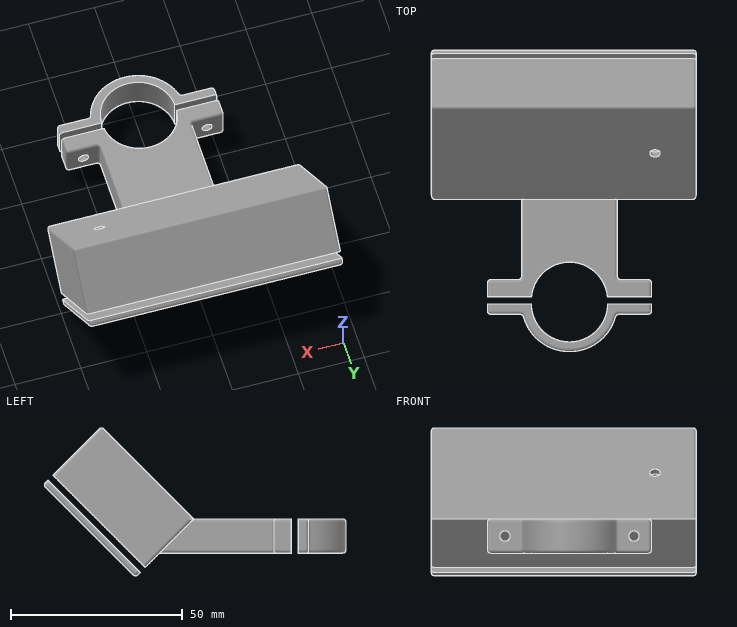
import cadquery as cq
import math


wall = 2.0
edge_radius = 1.0
part_gap = 2.0

tilt = 45
box_length = 77.1
box_height = 38.0
box_depth = 20.0
box_shift = -1.7
lid_thickness = wall
front_hole_diameter = 3.0
front_hole_from_side = 12.0
front_hole_up_slope = box_height / 2

arm_thickness = 10.0
arm_reach = 29.3
bore_radius = 11.05
clamp_wall = 2.9
clamp_radius = bore_radius + clamp_wall
arm_width = 2 * clamp_radius
lug_span = 47.7
arm_joint = 1.0
arm_lug_thickness = 5.1
cap_lug_thickness = 3.1
bolt_hole_diameter = 3.0
bolt_spacing = 37.5
cap_joint = arm_joint - part_gap

box_normal = (0, -math.sin(math.radians(tilt)), math.cos(math.radians(tilt)))
box_plane = cq.Plane(origin=(box_shift, arm_reach, arm_thickness / 2), xDir=(1, 0, 0), normal=box_normal)


def slab(length, height, front, back):
    """Block in the box plane, centred on the box front between two depths behind it."""
    return (
        cq.Workplane("XY")
        .workplane(offset=-back)
        .center(0, box_height / 2)
        .rect(length, height)
        .extrude(back - front)
    )


def place(body):
    """Move a body from the box's own axes to its tilted place."""
    return cq.Workplane(obj=body.val().moved(cq.Location(box_plane)))


def drill_bolts(body):
    """Cut the two bolt holes through the lugs of a clamp half, along Y."""
    holes = (
        cq.Workplane("XZ", origin=(0, arm_reach, 0))
        .pushPoints([(-bolt_spacing / 2, 0), (bolt_spacing / 2, 0)])
        .circle(bolt_hole_diameter / 2)
        .extrude(arm_reach + clamp_radius + part_gap)
    )
    return body.cut(holes)


def bore(centre_y):
    """Cylinder of the handlebar, used to cut a clamp half."""
    return cq.Workplane("XY").center(0, centre_y).circle(bore_radius).extrude(arm_thickness, both=True)


def make_box():
    """Hollow box, open at the back, with its lower front edge left sharp against the arm."""
    shell = slab(box_length, box_height, 0, box_depth)
    shell = shell.edges("|Z or (>Z and (not <Y))").fillet(edge_radius)
    cavity = slab(box_length - 2 * wall, box_height - 2 * wall, wall, box_depth)
    hole = (
        cq.Workplane("XY")
        .center(box_length / 2 - front_hole_from_side, front_hole_up_slope)
        .circle(front_hole_diameter / 2)
        .extrude(-2 * wall)
    )
    return place(shell.cut(cavity).cut(hole))


def make_lid():
    """Plain plate behind the box mouth, rounded at its corners and around its outer face."""
    front = box_depth + part_gap
    plate = slab(box_length, box_height, front, front + lid_thickness)
    return place(plate.edges("|Z or <Z").fillet(edge_radius))


def make_arm():
    """Arm with its clamp half, running as far as the lower face of the tilted box."""
    lug_back = arm_joint + arm_lug_thickness
    arm_end = arm_reach + arm_thickness
    arm = (
        cq.Workplane("XY")
        .workplane(offset=-arm_thickness / 2)
        .moveTo(-lug_span / 2, arm_joint)
        .lineTo(lug_span / 2, arm_joint)
        .lineTo(lug_span / 2, lug_back)
        .lineTo(arm_width / 2, lug_back)
        .lineTo(arm_width / 2, arm_end)
        .lineTo(-arm_width / 2, arm_end)
        .lineTo(-arm_width / 2, lug_back)
        .lineTo(-lug_span / 2, lug_back)
        .close()
        .extrude(arm_thickness)
    )
    upright = cq.selectors.BoxSelector(
        (-lug_span, lug_back - edge_radius, -arm_thickness),
        (lug_span, lug_back + edge_radius, arm_thickness),
    )
    arm = arm.edges("|Z").edges(upright).fillet(edge_radius)
    arm = arm.faces("<Z or >Z").edges("(not <Y) and (not >Y)").fillet(edge_radius)
    arm = drill_bolts(arm.cut(bore(0)))
    trim_depth = 2 * box_depth
    return arm.cut(place(slab(box_length, box_height, 0, trim_depth)))


def make_housing():
    """Box and arm in one piece."""
    return make_box().union(make_arm())


def make_cap():
    """Loose clamp half: a half ring with two lugs."""
    lugs = (
        cq.Workplane("XY")
        .center(0, cap_joint - cap_lug_thickness / 2)
        .rect(lug_span, cap_lug_thickness)
        .extrude(arm_thickness / 2, both=True)
    )
    half_ring = (
        cq.Workplane("XY")
        .workplane(offset=-arm_thickness / 2)
        .moveTo(-clamp_radius, cap_joint)
        .threePointArc((0, cap_joint - clamp_radius), (clamp_radius, cap_joint))
        .close()
        .extrude(arm_thickness)
    )
    cap = lugs.union(half_ring)
    cap = cap.edges("|Z and (not >Y)").fillet(edge_radius)
    cap = cap.faces("<Z or >Z").edges("not >Y").fillet(edge_radius)
    return drill_bolts(cap.cut(bore(cap_joint)))


housing = make_housing()
lid = make_lid()
cap = make_cap()

result = cq.Compound.makeCompound([housing.val(), lid.val(), cap.val()])